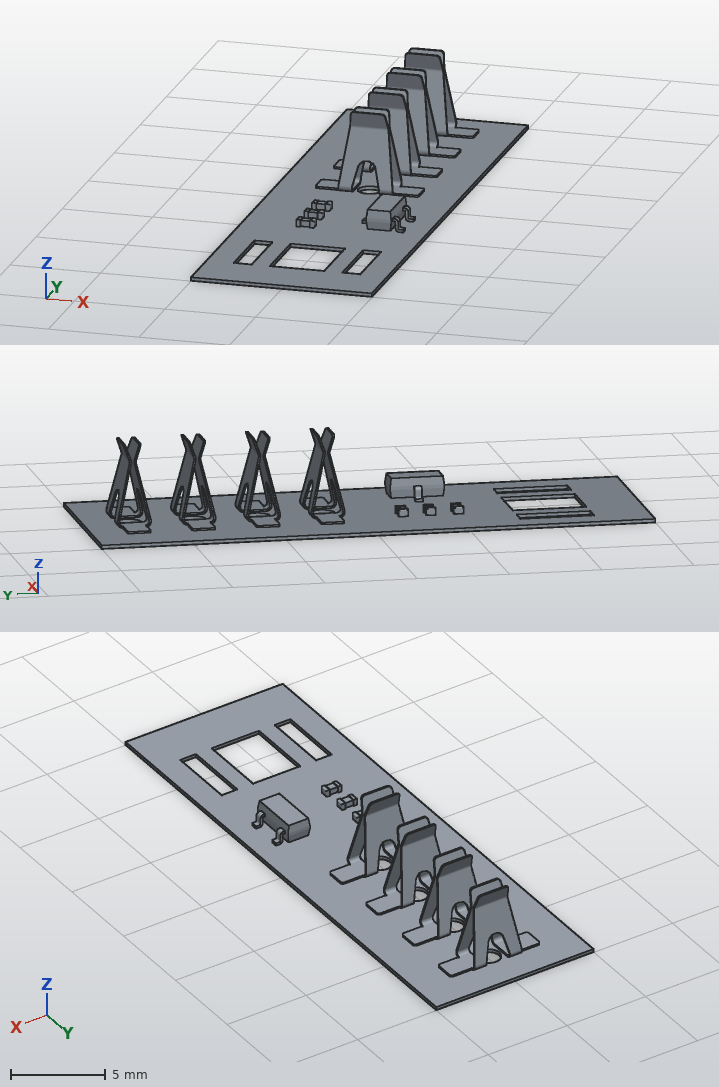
import cadquery as cq
import math

BOARD_WIDTH = 10.0
BOARD_LENGTH = 30.0
BOARD_TOP = 0.2
TOTAL_HEIGHT = 4.62

SOLDER_GAP = 0.045
MOUNT_Z = BOARD_TOP + SOLDER_GAP

WINDOW_LENGTH = 4.0
WINDOW_CENTER_Y = -10.0
MIDDLE_WINDOW_WIDTH = 3.0
SIDE_WINDOW_WIDTH = 1.0
SIDE_WINDOW_CENTER_X = 3.0

CLIP_COUNT = 4
CLIP_SPAN = 10.5
CLIP_PITCH = CLIP_SPAN / (CLIP_COUNT - 1)
FIRST_CLIP_Y = 12.5
BOARD_HOLE_DIAMETER = 1.3
SHEET_THICKNESS = 0.1
FOOT_LENGTH = 5.7
FOOT_WIDTH = 1.25
FOOT_CORNER_RADIUS = 0.15

BASE_HALF_DEPTH = 1.0
NECK_HALF_DEPTH = 0.165
TOP_HALF_DEPTH = 0.48
NECK_Z = 3.72
BASE_BEND_RADIUS = 0.3
NECK_BEND_RADIUS = 0.25

LEG_ROOT_Z = MOUNT_Z + BASE_BEND_RADIUS
LEG_ROOT_WIDTH = 3.0
LEG_TOP_WIDTH = 1.85
LEG_CORNER_RADIUS = 0.2

ARCH_RADIUS = 0.5
ARCH_TOP_Z = 1.98
ARCH_ROOT_WIDTH = 1.5

CHIP_COUNT = 3
CHIP_PITCH = 1.5
FIRST_CHIP_Y = -1.98
CHIP_CENTER_X = -1.5
CHIP_LENGTH = 1.0
CHIP_WIDTH = 0.5
CHIP_HEIGHT = 0.4
CHIP_CAP_LENGTH = 0.25
CHIP_CAP_RADIUS = 0.05
CHIP_BODY_INSET = 0.03

TRANSISTOR_X = 2.5
TRANSISTOR_Y = -3.5
BODY_WIDTH = 1.38
BODY_LENGTH = 2.95
BODY_BOTTOM = 0.35
BODY_TOP = 1.45
BAND_BOTTOM = 0.8
BAND_TOP = 1.0
BODY_TAPER_ANGLE = 8.0
LEAD_WIDTH = 0.4
LEAD_THICKNESS = 0.15
LEAD_TOP = (BAND_BOTTOM + BAND_TOP + LEAD_THICKNESS) / 2
LEAD_SPAN = 2.52
LEAD_SHOULDER_SPAN = 1.98
LEAD_BEND_RADIUS = 0.05
LEAD_PITCH = 0.95

CLIP_CENTERS_Y = [FIRST_CLIP_Y - i * CLIP_PITCH for i in range(CLIP_COUNT)]
CHIP_CENTERS_Y = [FIRST_CHIP_Y - i * CHIP_PITCH for i in range(CHIP_COUNT)]


def make_block(length_x, length_y, bottom, top):
    """Rectangular block centred on the Z axis."""
    return cq.Workplane("XY", origin=(0, 0, bottom)).rect(length_x, length_y).extrude(top - bottom)


def make_board():
    """Thin rectangular board with three windows and a hole under each clip."""
    board = make_block(BOARD_WIDTH, BOARD_LENGTH, 0, BOARD_TOP)
    middle_window = make_block(MIDDLE_WINDOW_WIDTH, WINDOW_LENGTH, 0, BOARD_TOP)
    middle_window = middle_window.translate((0, WINDOW_CENTER_Y, 0))
    side_windows = (
        cq.Workplane("XY")
        .pushPoints([(side * SIDE_WINDOW_CENTER_X, WINDOW_CENTER_Y) for side in (-1, 1)])
        .rect(SIDE_WINDOW_WIDTH, WINDOW_LENGTH)
        .extrude(BOARD_TOP)
    )
    holes = (
        cq.Workplane("XY")
        .pushPoints([(0, y) for y in CLIP_CENTERS_Y])
        .circle(BOARD_HOLE_DIAMETER / 2)
        .extrude(BOARD_TOP)
    )
    return board.cut(middle_window).cut(side_windows).cut(holes)


def make_bent_sheet():
    """Hourglass-shaped loop of sheet, open at the top and at both X ends."""
    hourglass = (
        cq.Workplane("YZ")
        .polyline(
            [
                (-BASE_HALF_DEPTH, MOUNT_Z),
                (BASE_HALF_DEPTH, MOUNT_Z),
                (NECK_HALF_DEPTH, NECK_Z),
                (TOP_HALF_DEPTH, TOTAL_HEIGHT),
                (-TOP_HALF_DEPTH, TOTAL_HEIGHT),
                (-NECK_HALF_DEPTH, NECK_Z),
            ]
        )
        .close()
        .extrude(LEG_ROOT_WIDTH / 2, both=True)
    )
    hourglass = hourglass.edges("|X and <Z").fillet(BASE_BEND_RADIUS)
    neck_creases = cq.selectors.BoxSelector(
        (-LEG_ROOT_WIDTH, -NECK_HALF_DEPTH - NECK_BEND_RADIUS, NECK_Z - NECK_BEND_RADIUS),
        (LEG_ROOT_WIDTH, NECK_HALF_DEPTH + NECK_BEND_RADIUS, NECK_Z + NECK_BEND_RADIUS),
    )
    hourglass = hourglass.edges(neck_creases).fillet(NECK_BEND_RADIUS)
    return hourglass.faces(">Z or >X or <X").shell(-SHEET_THICKNESS)


def make_leg_outline():
    """Block that trims the sheet to its tapered width."""
    root = LEG_ROOT_WIDTH / 2
    top = LEG_TOP_WIDTH / 2
    return (
        cq.Workplane("XZ")
        .polyline(
            [
                (-root, MOUNT_Z),
                (root, MOUNT_Z),
                (root, LEG_ROOT_Z),
                (top, TOTAL_HEIGHT),
                (-top, TOTAL_HEIGHT),
                (-root, LEG_ROOT_Z),
            ]
        )
        .close()
        .extrude(BASE_HALF_DEPTH, both=True)
        .edges("|Y and >Z")
        .fillet(LEG_CORNER_RADIUS)
    )


def make_arch():
    """Cutter with straight root, sloping sides and a round top tangent to them."""
    root = ARCH_ROOT_WIDTH / 2
    center_z = ARCH_TOP_Z - ARCH_RADIUS
    rise = center_z - LEG_ROOT_Z
    tangent_angle = math.acos(ARCH_RADIUS / math.hypot(root, rise)) - math.atan2(rise, root)
    tangent_x = ARCH_RADIUS * math.cos(tangent_angle)
    tangent_z = center_z + ARCH_RADIUS * math.sin(tangent_angle)
    return (
        cq.Workplane("XZ")
        .moveTo(-root, MOUNT_Z)
        .lineTo(root, MOUNT_Z)
        .lineTo(root, LEG_ROOT_Z)
        .lineTo(tangent_x, tangent_z)
        .threePointArc((0, ARCH_TOP_Z), (-tangent_x, tangent_z))
        .lineTo(-root, LEG_ROOT_Z)
        .close()
        .extrude(BASE_HALF_DEPTH, both=True)
    )


def make_clip(center_y):
    """Spring clip: two soldered feet joined by a pair of arched legs that pinch at the neck."""
    feet = make_block(FOOT_LENGTH, FOOT_WIDTH, MOUNT_Z, MOUNT_Z + SHEET_THICKNESS)
    feet = feet.edges("|Z").fillet(FOOT_CORNER_RADIUS)
    clip = make_bent_sheet().intersect(make_leg_outline()).union(feet).cut(make_arch())
    return clip.translate((0, center_y, 0))


def make_chip(center_y):
    """Chip component lying along X."""
    top = MOUNT_Z + CHIP_HEIGHT
    gap = CHIP_LENGTH - 2 * CHIP_CAP_LENGTH
    caps = make_block(CHIP_LENGTH, CHIP_WIDTH, MOUNT_Z, top)
    caps = caps.faces("<X or >X").edges().fillet(CHIP_CAP_RADIUS)
    caps = caps.cut(make_block(gap, CHIP_WIDTH, MOUNT_Z, top))
    core_width = CHIP_WIDTH - 2 * CHIP_BODY_INSET
    core = make_block(gap, core_width, MOUNT_Z + CHIP_BODY_INSET, top - CHIP_BODY_INSET)
    return caps.union(core).translate((CHIP_CENTER_X, center_y, 0))


def make_lead(side, offset_y):
    """Gull-wing lead leaving the body at its waist and ending in a flat foot just above the board."""
    outer = LEAD_SHOULDER_SPAN / 2
    inner = outer - LEAD_THICKNESS
    lead_bottom = LEAD_TOP - LEAD_THICKNESS
    foot_top = MOUNT_Z + LEAD_THICKNESS
    toe = LEAD_SPAN / 2
    lead = (
        cq.Workplane("XZ")
        .polyline(
            [
                (0, lead_bottom),
                (inner, lead_bottom),
                (inner, MOUNT_Z),
                (toe, MOUNT_Z),
                (toe, foot_top),
                (outer, foot_top),
                (outer, LEAD_TOP),
                (0, LEAD_TOP),
            ]
        )
        .close()
        .extrude(LEAD_WIDTH / 2, both=True)
    )
    outer_bends = [(outer, 0, LEAD_TOP), (inner, 0, MOUNT_Z)]
    inner_bends = [(inner, 0, lead_bottom), (outer, 0, foot_top)]
    outer_radius = LEAD_BEND_RADIUS + LEAD_THICKNESS
    for corner in outer_bends:
        lead = lead.edges(cq.selectors.NearestToPointSelector(corner)).fillet(outer_radius)
    for corner in inner_bends:
        lead = lead.edges(cq.selectors.NearestToPointSelector(corner)).fillet(LEAD_BEND_RADIUS)
    if side < 0:
        lead = lead.mirror("YZ")
    return lead.translate((0, offset_y, 0))


def make_transistor():
    """Moulded body with a straight waist band, tapered above and below, and three leads."""
    body = make_block(BODY_WIDTH, BODY_LENGTH, BAND_BOTTOM, BAND_TOP)
    upper = (
        cq.Workplane("XY", origin=(0, 0, BAND_TOP))
        .rect(BODY_WIDTH, BODY_LENGTH)
        .extrude(BODY_TOP - BAND_TOP, taper=BODY_TAPER_ANGLE)
    )
    lower = (
        cq.Workplane("XY", origin=(0, 0, BAND_BOTTOM))
        .rect(BODY_WIDTH, BODY_LENGTH)
        .extrude(BODY_BOTTOM - BAND_BOTTOM, taper=BODY_TAPER_ANGLE)
    )
    transistor = body.union(upper).union(lower)
    for side, offset_y in ((-1, 0), (1, LEAD_PITCH), (1, -LEAD_PITCH)):
        transistor = transistor.union(make_lead(side, offset_y))
    return transistor.translate((TRANSISTOR_X, TRANSISTOR_Y, 0))


board = make_board()
clips = [make_clip(y) for y in CLIP_CENTERS_Y]
chips = [make_chip(y) for y in CHIP_CENTERS_Y]
transistor = make_transistor()

result = cq.Compound.makeCompound(
    [
        board.val(),
        *[clip.val() for clip in clips],
        *[chip.val() for chip in chips],
        transistor.val(),
    ]
)